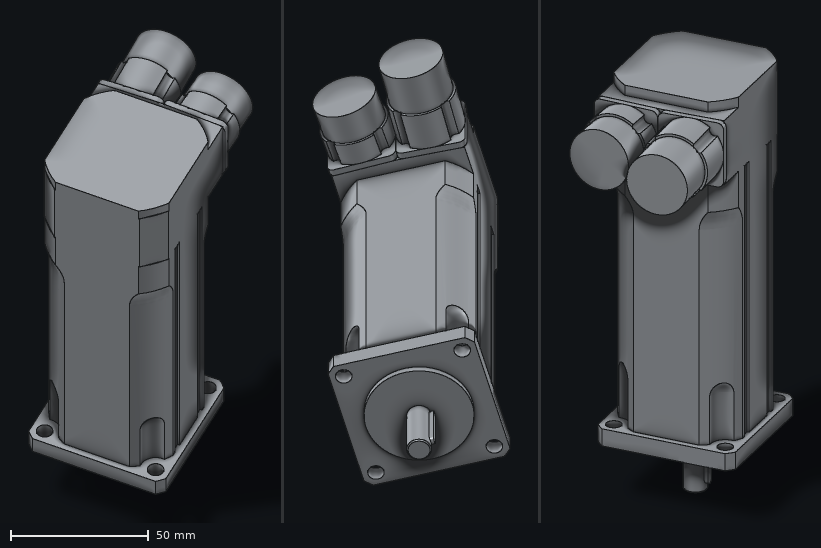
import cadquery as cq
import math


overall_height = 170.0

flange_side = 55.0
flange_turned_diameter = 74.0
flange_top = 7.0
pilot_diameter = 40.0
pilot_height = 2.5
bolt_offset = 22.3
bolt_hole_diameter = 6.0

shaft_diameter = 9.0
shaft_bottom = -24.0
shaft_chamfer = 0.5
key_width = 3.0
key_length = 18.2
key_bottom = shaft_bottom + 3.0
key_reach = 5.8

body_side = 50.0
half_side = body_side / 2
body_top = overall_height + shaft_bottom
corner_radius_low = 28.2
corner_radius_high = 60.0 / 2
corner_step_bottom = 93.7
corner_step_top = 101.5

scallop_radius = 6.0
scallop_straight_top = 26.2

side_groove_width = 3.7
side_groove_offset = 9.5
side_groove_depth = 0.8

header_height = 25.8
header_bottom = 116.1
header_top = header_bottom + header_height
header_middle_z = (header_bottom + header_top) / 2
header_peak_y = 30.0
header_chamfer = 8.0
splay_angle = 2.0

plate_side = header_height
plate_thickness = 2.5
plate_corner_radius = 2.5
socket_diameter = 26.0
sleeve_diameter = 24.0
socket_groove_diameter = 4.5
socket_groove_offset = 13.6
socket_groove_count = 4
socket_groove_start_angle = 45
left_socket_end = 17.7
left_sleeve_end = 34.0
right_socket_end = 11.7
right_sleeve_end = 24.0

CORNERS = [(sx, sy) for sx in (-1, 1) for sy in (-1, 1)]


def cylinder(diameter, bottom, top):
    """Upright cylinder on the motor axis."""
    return cq.Workplane("XY").workplane(offset=bottom).circle(diameter / 2).extrude(top - bottom)


def square_bar(side, bottom, top):
    """Upright square bar on the motor axis."""
    return cq.Workplane("XY").workplane(offset=bottom).rect(side, side).extrude(top - bottom)


def make_flange():
    plate = square_bar(flange_side, 0, flange_top)
    return plate.intersect(cylinder(flange_turned_diameter, 0, flange_top))


def make_turned_envelope():
    """Solid of revolution whose concave step trims the body corners."""
    step_rise = corner_step_top - corner_step_bottom
    step_out = corner_radius_high - corner_radius_low
    step_radius = (step_rise**2 + step_out**2) / (2 * step_out)
    half_sweep = math.asin(step_rise / step_radius) / 2
    arc_middle = (
        corner_radius_low + step_radius * (1 - math.cos(half_sweep)),
        corner_step_bottom + step_radius * math.sin(half_sweep),
    )
    return (
        cq.Workplane("XZ")
        .moveTo(0, flange_top)
        .lineTo(corner_radius_low, flange_top)
        .lineTo(corner_radius_low, corner_step_bottom)
        .threePointArc(arc_middle, (corner_radius_high, corner_step_top))
        .lineTo(corner_radius_high, body_top)
        .lineTo(0, body_top)
        .close()
        .revolve(360, (0, 0, 0), (0, 1, 0))
    )


def make_header():
    """Block behind the motor whose two rear faces carry the connectors."""
    edge_y = header_peak_y - half_side * math.tan(math.radians(splay_angle))
    chamfer_x = half_side - header_chamfer
    outline = [
        (-chamfer_x, -half_side),
        (chamfer_x, -half_side),
        (half_side, -chamfer_x),
        (half_side, edge_y),
        (0, header_peak_y),
        (-half_side, edge_y),
        (-half_side, -chamfer_x),
    ]
    return cq.Workplane("XY").workplane(offset=header_bottom).polyline(outline).close().extrude(header_height)


def make_body():
    """Lower body, header and end cap stacked along the motor axis."""
    column = square_bar(body_side, flange_top, body_top).intersect(make_turned_envelope())
    below_header = column.intersect(square_bar(body_side, flange_top, header_bottom))
    end_cap = column.intersect(square_bar(body_side, header_top, body_top))
    return below_header.union(make_header()).union(end_cap)


def make_scallop(x, y):
    """Round-ended cutter that clears a screw head at one corner."""
    straight = (
        cq.Workplane("XY")
        .workplane(offset=flange_top)
        .center(x, y)
        .circle(scallop_radius)
        .extrude(scallop_straight_top - flange_top)
    )
    dome = cq.Workplane("XY").sphere(scallop_radius).translate((x, y, scallop_straight_top))
    return straight.union(dome)


def make_side_groove(x_sign, y_sign):
    """Cutter for one groove between the flange and the header."""
    height = header_bottom - flange_top
    return (
        cq.Workplane("XY")
        .box(2 * side_groove_depth, side_groove_width, height)
        .translate((x_sign * half_side, y_sign * side_groove_offset, flange_top + height / 2))
    )


def make_shaft():
    shaft = cylinder(shaft_diameter, shaft_bottom, 0)
    return shaft.faces("<Z").chamfer(shaft_chamfer)


def make_key():
    """Round-ended key standing out of the -X side of the shaft."""
    return (
        cq.Workplane("YZ")
        .center(0, key_bottom + key_length / 2)
        .slot2D(key_length, key_width, 90)
        .extrude(-key_reach)
    )


def make_motor():
    motor = make_body().union(make_flange())
    for x_sign, y_sign in CORNERS:
        motor = motor.cut(make_scallop(x_sign * bolt_offset, y_sign * bolt_offset))
        motor = motor.cut(make_side_groove(x_sign, y_sign))
    bolt_holes = (
        cq.Workplane("XY")
        .rect(2 * bolt_offset, 2 * bolt_offset, forConstruction=True)
        .vertices()
        .circle(bolt_hole_diameter / 2)
        .extrude(flange_top)
    )
    pilot = cylinder(pilot_diameter, -pilot_height, 0)
    return motor.cut(bolt_holes).union(pilot).union(make_shaft()).union(make_key())


def make_connector(side, socket_end, sleeve_end):
    """Connector on one splayed header face; side is -1 for -X and +1 for +X."""
    plate = (
        cq.Workplane("XY")
        .rect(plate_side, plate_side)
        .extrude(plate_thickness)
        .edges("|Z")
        .fillet(plate_corner_radius)
    )
    grooves = (
        cq.Workplane("XY")
        .workplane(offset=plate_thickness)
        .polarArray(socket_groove_offset, socket_groove_start_angle, 360, socket_groove_count)
        .circle(socket_groove_diameter / 2)
        .extrude(socket_end - plate_thickness)
    )
    socket = cylinder(socket_diameter, plate_thickness, socket_end).cut(grooves)
    sleeve = cylinder(sleeve_diameter, socket_end, sleeve_end)
    connector = plate.union(socket).union(sleeve)
    return (
        connector.rotate((0, 0, 0), (1, 0, 0), -90)
        .translate((side * plate_side / 2, 0, 0))
        .rotate((0, 0, 0), (0, 0, 1), -side * splay_angle)
        .translate((0, header_peak_y, header_middle_z))
    )


motor = make_motor()
connectors = [
    make_connector(side, socket_end, sleeve_end)
    for side, socket_end, sleeve_end in (
        (-1, left_socket_end, left_sleeve_end),
        (1, right_socket_end, right_sleeve_end),
    )
]

result = cq.Compound.makeCompound([motor.val(), *[connector.val() for connector in connectors]])